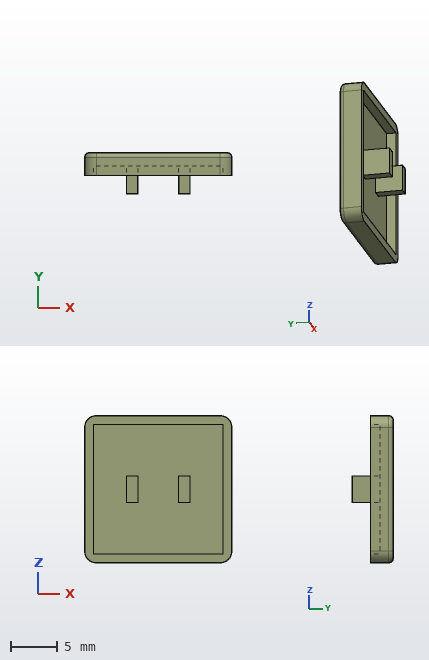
import cadquery as cq

side = 16.0
thickness = 2.5
corner_radius = 1.26
back_fillet = 0.5

wall = 0.98
pocket_depth = 1.04
pocket_side = side - 2 * wall

total_depth = 4.46
peg_width = 1.25
peg_height = 2.9
peg_spacing = 5.68
peg_length = total_depth - thickness + pocket_depth



def make_cap():
    """Plate with rounded corners and a rounded back edge."""
    plate = cq.Workplane("XZ").rect(side, side).extrude(-thickness)
    return plate.edges("|Y").fillet(corner_radius).faces(">Y").edges().fillet(back_fillet)


def make_pocket():
    """Sharp-cornered recess cut into the plate from the rim."""
    return cq.Workplane("XZ").rect(pocket_side, pocket_side).extrude(-pocket_depth)


def make_pegs():
    """Pair of rectangular pegs reaching from the pocket floor past the rim."""
    return (
        cq.Workplane("XZ", origin=(0, pocket_depth, 0))
        .rarray(peg_spacing, 0.16, 2, 1)
        .rect(peg_width, peg_height)
        .extrude(peg_length)
    )


result = make_cap().cut(make_pocket()).union(make_pegs())